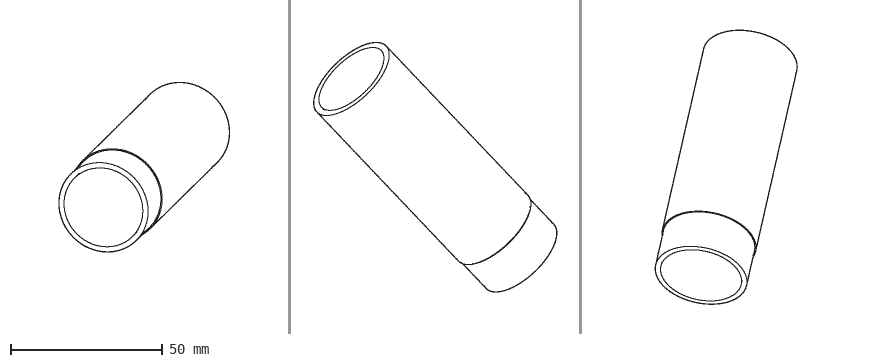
import cadquery as cq

total_length = 91.0
spigot_length = 14.6
body_diameter = 31.8
spigot_diameter = 30.9
bore_diameter = 27.3


def cylinder_along_y(diameter, start, end):
    """Solid cylinder on the Y axis between two Y positions."""
    return (
        cq.Workplane("XZ", origin=(0, start, 0))
        .circle(diameter / 2)
        .extrude(start - end)
    )


front = -total_length / 2
back = total_length / 2
shoulder = front + spigot_length
spigot = cylinder_along_y(spigot_diameter, front, shoulder)
body = cylinder_along_y(body_diameter, shoulder, back)

bore = cylinder_along_y(bore_diameter, front, back)

result = body.union(spigot).cut(bore)